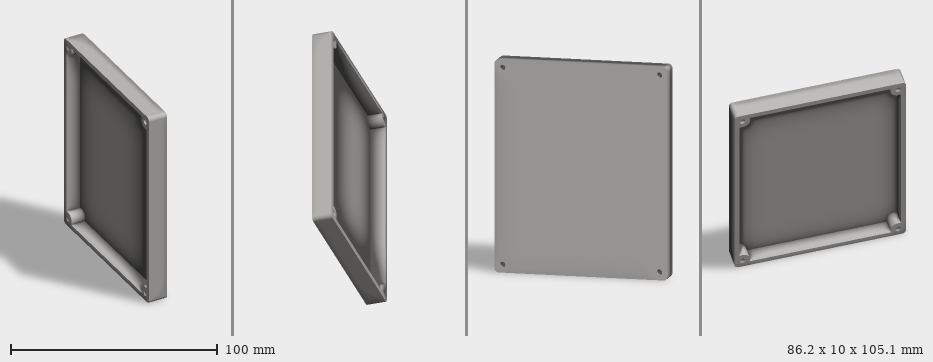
import cadquery as cq

width = 86.2
depth = 10.0
height = 105.1
corner_radius = 2.0

wall = 2.5
floor_thickness = wall

boss_diameter = 7.7
hole_diameter = 2.7
boss_inset = 4.0

cavity_depth = depth - floor_thickness
boss_spacing_x = width - 2 * boss_inset
boss_spacing_z = height - 2 * boss_inset


def front_workplane():
    """Plane of the open rim; positive extrusion runs towards -Y."""
    return cq.Workplane("XZ", origin=(0, -depth / 2, 0))


def corner_cylinders(diameter, length):
    """Four cylinders running from the rim into the tray, one per corner."""
    return (
        front_workplane()
        .rect(boss_spacing_x, boss_spacing_z, forConstruction=True)
        .vertices()
        .circle(diameter / 2)
        .extrude(-length)
    )


body = cq.Workplane("XY").box(width, depth, height).edges("|Y").fillet(corner_radius)

cavity = (
    front_workplane()
    .rect(width - 2 * wall, height - 2 * wall)
    .extrude(-cavity_depth)
    .cut(corner_cylinders(boss_diameter, cavity_depth))
)

result = body.cut(cavity).cut(corner_cylinders(hole_diameter, depth))